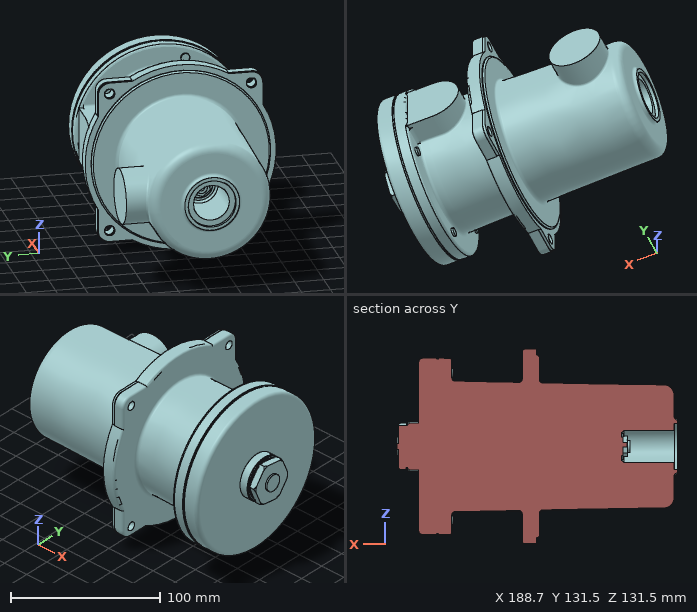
import cadquery as cq
import math


nose_ring_radius = 18.9
nose_recess_radius = 16.5
nose_recess_depth = 2.5
housing_x = 2.5
root_fillet = 2.3
housing_end_radius = 41.9
housing_end_fillet = 7.0
housing_root_radius = 43.2

pilot_x = 92.8
pilot_radius = 61.7
pilot_chamfer = 1.1
flange_x = 94.5
flange_end_x = 104.5
flange_diameter = 131.5
flange_fillet = 1.9
ear_span = 113.6
ear_corner_radius = 7.4
ear_hole_diameter = 6.5
ear_front_depth = 1.9
ear_front_span = 113.2
ear_front_corner_radius = 8.0
ear_front_hole_diameter = 7.0
ear_hole_spacing = 97.5

neck_start_radius = 43.5
neck_end_radius = 44.3
neck_straight_x = 144.0
cover_x = 151.5
cover_end_x = 174.0
cover_radius = 59.6
cover_front_fillet = 1.7
cover_back_fillet = 2.8
joint_x = 160.5
joint_width = 1.1
joint_depth = 0.5

screw_count = 5
screw_diameter = 6.0
screw_circle_radius = 52.0
screw_protrusion = 1.3
first_screw_degrees = 180

port_diameter = 38.0
port_face_y = 56.8
port_fillet = 1.5
front_port_x = 28.7
rear_port_x = 133.0

boss_diameter = 34.0
boss_end_x = 180.4
collar_diameter = 33.0
collar_end_x = 181.3
groove_diameter = 31.0
hex_x = 182.1
hex_end_x = 187.4
hex_corner_diameter = 34.0
hex_chamfer = 1.1
hex_turn_degrees = 52.4
tip_diameter = 12.8
overall_length = 188.7

bore_diameter = 24.5
bore_depth = 37.7
bore_floor_chamfer = 1.5
washer_diameter = 17.5
washer_thickness = 1.0
nut_corner_diameter = 14.0
nut_thickness = 3.8
nut_turn_degrees = 20.4
stud_diameter = 8.0
stud_length = 5.7
stud_hole_diameter = 4.0


def plane_at(x):
    """Plane across the axis, with local x along +Y and local y along +Z."""
    return cq.Workplane("YZ", origin=(x, 0, 0))


def disc(x_start, x_end, diameter):
    return plane_at(x_start).circle(diameter / 2).extrude(x_end - x_start)


def hexagon(x_start, x_end, corner_diameter, turn):
    prism = plane_at(x_start).polygon(6, corner_diameter).extrude(x_end - x_start)
    return prism.rotate((0, 0, 0), (1, 0, 0), turn)


def revolve_profile(profile):
    return profile.close().revolve(360, (0, 0, 0), (1, 0, 0))


def make_housing():
    """Nose ring, tapered housing and pilot disc, turned in one piece."""
    return revolve_profile(
        cq.Workplane("XY")
        .moveTo(0, 0)
        .lineTo(0, nose_ring_radius)
        .lineTo(housing_x - root_fillet, nose_ring_radius)
        .radiusArc((housing_x, nose_ring_radius + root_fillet), -root_fillet)
        .lineTo(housing_x, housing_end_radius - housing_end_fillet)
        .radiusArc((housing_x + housing_end_fillet, housing_end_radius), housing_end_fillet)
        .lineTo(pilot_x - root_fillet, housing_root_radius)
        .radiusArc((pilot_x, housing_root_radius + root_fillet), -root_fillet)
        .lineTo(pilot_x, pilot_radius - pilot_chamfer)
        .lineTo(pilot_x + pilot_chamfer, pilot_radius)
        .lineTo(flange_x, pilot_radius)
        .lineTo(flange_x, 0)
    )


def make_ears(x_start, x_end, span, corner_radius):
    ears = plane_at(x_start).rect(span, span).extrude(x_end - x_start)
    return ears.edges("|X").fillet(corner_radius)


def make_ear_holes(x_start, x_end, diameter):
    centres = plane_at(x_start).rect(ear_hole_spacing, ear_hole_spacing, forConstruction=True)
    return centres.vertices().circle(diameter / 2).extrude(x_end - x_start)


def make_flange():
    """Round flange with four ears; the front layer is slightly smaller with larger holes."""
    layer_x = flange_x + ear_front_depth
    flange = disc(flange_x, flange_end_x, flange_diameter)
    flange = flange.union(make_ears(layer_x, flange_end_x, ear_span, ear_corner_radius))
    flange = flange.faces(">X").edges().fillet(flange_fillet)
    flange = flange.union(make_ears(flange_x, layer_x, ear_front_span, ear_front_corner_radius))
    flange = flange.cut(make_ear_holes(flange_x, layer_x, ear_front_hole_diameter))
    return flange.cut(make_ear_holes(layer_x, flange_end_x, ear_hole_diameter))


def make_neck():
    """Tapered rear neck, running on into the cover."""
    return revolve_profile(
        cq.Workplane("XY")
        .moveTo(flange_end_x, 0)
        .lineTo(flange_end_x, neck_start_radius + root_fillet)
        .radiusArc((flange_end_x + root_fillet, neck_start_radius), -root_fillet)
        .lineTo(neck_straight_x, neck_end_radius)
        .lineTo(joint_x, neck_end_radius)
        .lineTo(joint_x, 0)
    )


def make_cover():
    """Two-piece cover, filleted onto the neck, with a groove at its joint."""
    joint_end_x = joint_x + joint_width
    joint_radius = cover_radius - joint_depth
    return revolve_profile(
        cq.Workplane("XY")
        .moveTo(cover_x - root_fillet, 0)
        .lineTo(cover_x - root_fillet, neck_end_radius)
        .radiusArc((cover_x, neck_end_radius + root_fillet), -root_fillet)
        .lineTo(cover_x, cover_radius - cover_front_fillet)
        .radiusArc((cover_x + cover_front_fillet, cover_radius), cover_front_fillet)
        .lineTo(joint_x, cover_radius)
        .lineTo(joint_x, joint_radius)
        .lineTo(joint_end_x, joint_radius)
        .lineTo(joint_end_x, cover_radius)
        .lineTo(cover_end_x - cover_back_fillet, cover_radius)
        .radiusArc((cover_end_x, cover_radius - cover_back_fillet), cover_back_fillet)
        .lineTo(cover_end_x, 0)
    )


def make_port(centre_x):
    port = cq.Workplane("XZ", origin=(centre_x, 0, 0)).circle(port_diameter / 2)
    return port.extrude(-port_face_y)


def make_rear_port():
    """Port with a straight-sided block that joins it to the cover."""
    length = cover_x + cover_front_fillet - rear_port_x
    block = cq.Workplane("XY").box(length, port_face_y, port_diameter, centered=(False, False, True))
    return make_port(rear_port_x).union(block.translate((rear_port_x, 0, 0)))


def fillet_port_root(body, x_start, x_end):
    """Round the edges where a port meets the body, between two stations."""
    lowest_y = housing_end_radius - port_fillet - root_fillet
    highest_y = neck_end_radius + root_fillet
    low = (x_start, lowest_y, -port_diameter)
    high = (x_end, highest_y, port_diameter)
    return body.edges(cq.selectors.BoxSelector(low, high)).fillet(port_fillet)


def make_block_fillets():
    """Fillets in the two corners between the rear port block and the cover."""
    side_z = port_diameter / 2
    flat_radius = cover_radius - cover_front_fillet
    top_y = math.sqrt(flat_radius**2 - (side_z + root_fillet) ** 2)
    corner = (
        cq.Workplane("XZ")
        .moveTo(cover_x - root_fillet, side_z)
        .radiusArc((cover_x, side_z + root_fillet), -root_fillet)
        .lineTo(cover_x, side_z)
        .close()
        .extrude(-top_y)
    )
    return corner.union(corner.mirror("XY"))


def make_screw_ends():
    return (
        plane_at(cover_x - screw_protrusion)
        .polarArray(screw_circle_radius, first_screw_degrees, 360, screw_count)
        .circle(screw_diameter / 2)
        .extrude(joint_x - cover_x)
    )


def make_plug():
    """Boss, collar and chamfered hexagon head with a small round tip."""
    head = hexagon(hex_x, hex_end_x, hex_corner_diameter, hex_turn_degrees)
    envelope = disc(hex_x, hex_end_x, hex_corner_diameter).faces(">X").chamfer(hex_chamfer)
    plug = disc(cover_end_x, boss_end_x, boss_diameter)
    plug = plug.union(disc(boss_end_x, collar_end_x, collar_diameter))
    plug = plug.union(disc(collar_end_x, hex_x, groove_diameter))
    plug = plug.union(head.intersect(envelope))
    return plug.union(disc(hex_end_x, overall_length, tip_diameter))


def make_bore():
    """Space to remove from the nose: recess and blind bore, less the nut at its floor."""
    floor_x = bore_depth
    bore = disc(0, floor_x, bore_diameter).faces(">X").chamfer(bore_floor_chamfer)
    nut = disc(floor_x - washer_thickness, floor_x, washer_diameter)
    nut = nut.union(hexagon(floor_x - nut_thickness, floor_x, nut_corner_diameter, nut_turn_degrees))
    nut = nut.union(disc(floor_x - stud_length, floor_x, stud_diameter))
    nut = nut.cut(disc(floor_x - stud_length, floor_x, stud_hole_diameter))
    return bore.cut(nut).union(disc(0, nose_recess_depth, 2 * nose_recess_radius))


front_body = make_housing().union(make_port(front_port_x))
front_body = fillet_port_root(front_body, housing_x, pilot_x - port_diameter)

rear_body = make_neck().union(make_rear_port())
rear_body = fillet_port_root(rear_body, flange_end_x + 2 * root_fillet, cover_x)

body = front_body.union(rear_body)
body = body.union(make_cover())
body = body.union(make_block_fillets())
body = body.union(make_flange())
body = body.union(make_screw_ends())
body = body.union(make_plug())
result = body.cut(make_bore())